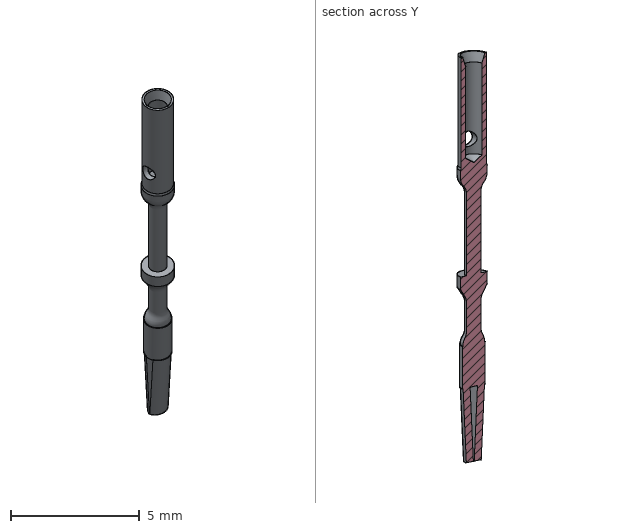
import cadquery as cq
import math

total_length = 16.5
flange_radius = 0.652

barrel_radius = 0.619
barrel_bottom = 12.03
mouth_radius = 0.53
bore_radius = 0.38
mouth_depth = 0.4
bore_end = 12.38
drill_point_angle = 118.0
sight_hole_radius = 0.31
sight_hole_z = 13.0

flange_top = 11.93
flange_bottom = 11.62
flange_round_end_radius = 0.46
flange_round_end = 11.22
rod_radius = 0.36
flange_fillet_end = 10.94

collar_top = 7.6
collar_bottom = 7.1
cone_end = 6.75
cone_end_radius = 0.43
cone_fillet_end = 6.5

shoulder_fillet_start = 5.36
shoulder_fillet_end = 5.12
shoulder_neck_radius = 0.43
shoulder_cone_end = 5.02
shoulder_cone_end_radius = 0.48
shoulder_round_end_radius = 0.53
shoulder_round_radius = 0.38
sleeve_top = 4.77
sleeve_radius = 0.56
sleeve_bottom = 3.04

finger_radius = 0.53
slot_width = 0.33
tip_gap = 0.02


def rod_fillet_radius(end_radius, height):
    """Radius of a fillet that leaves the rod tangentially and widens to end_radius over height."""
    rise = end_radius - rod_radius
    return (rise**2 + height**2) / (2 * rise)


def make_body():
    """Turned body from the barrel down to the sleeve."""
    flange_fillet = -rod_fillet_radius(flange_round_end_radius, flange_round_end - flange_fillet_end)
    cone_fillet = -rod_fillet_radius(cone_end_radius, cone_end - cone_fillet_end)
    shoulder_fillet = -rod_fillet_radius(shoulder_neck_radius, shoulder_fillet_start - shoulder_fillet_end)
    profile = (
        cq.Workplane("XZ")
        .moveTo(0, total_length)
        .lineTo(barrel_radius, total_length)
        .lineTo(barrel_radius, barrel_bottom)
        .lineTo(flange_radius, flange_top)
        .lineTo(flange_radius, flange_bottom)
        .tangentArcPoint((flange_round_end_radius, flange_round_end), relative=False)
        .radiusArc((rod_radius, flange_fillet_end), flange_fillet)
        .lineTo(rod_radius, collar_top)
        .lineTo(flange_radius, collar_top)
        .lineTo(flange_radius, collar_bottom)
        .lineTo(cone_end_radius, cone_end)
        .radiusArc((rod_radius, cone_fillet_end), cone_fillet)
        .lineTo(rod_radius, shoulder_fillet_start)
        .radiusArc((shoulder_neck_radius, shoulder_fillet_end), shoulder_fillet)
        .lineTo(shoulder_cone_end_radius, shoulder_cone_end)
        .radiusArc((shoulder_round_end_radius, sleeve_top), shoulder_round_radius)
        .lineTo(sleeve_radius, sleeve_top)
        .lineTo(sleeve_radius, sleeve_bottom)
        .lineTo(0, sleeve_bottom)
        .close()
    )
    return profile.revolve(360, (0, 0, 0), (0, 1, 0))


def make_bore():
    """Wire bore with a flared mouth and a drill-point bottom."""
    point_depth = bore_radius / math.tan(math.radians(drill_point_angle / 2))
    profile = (
        cq.Workplane("XZ")
        .moveTo(0, total_length)
        .lineTo(mouth_radius, total_length)
        .lineTo(bore_radius, total_length - mouth_depth)
        .lineTo(bore_radius, bore_end)
        .lineTo(0, bore_end - point_depth)
        .close()
    )
    return profile.revolve(360, (0, 0, 0), (0, 1, 0))


def make_sight_hole():
    """Hole through the front wall of the barrel, into the bore."""
    return (
        cq.Workplane("XZ")
        .center(0, sight_hole_z)
        .circle(sight_hole_radius)
        .extrude(barrel_radius)
    )


def make_finger(side):
    """One D-section finger; side is 1 for +X and -1 for -X."""
    flat_x = slot_width / 2
    half_flat = math.sqrt(finger_radius**2 - flat_x**2)
    bend = (slot_width - tip_gap) / 2

    def section(workplane, shift):
        return (
            workplane
            .moveTo(side * (flat_x - shift), -half_flat)
            .threePointArc((side * (finger_radius - shift), 0), (side * (flat_x - shift), half_flat))
            .close()
        )

    tip = section(cq.Workplane("XY"), bend)
    return section(tip.workplane(offset=sleeve_bottom), 0).loft(ruled=True)


result = make_body().cut(make_bore()).cut(make_sight_hole())
for finger_side in (1, -1):
    result = result.union(make_finger(finger_side))